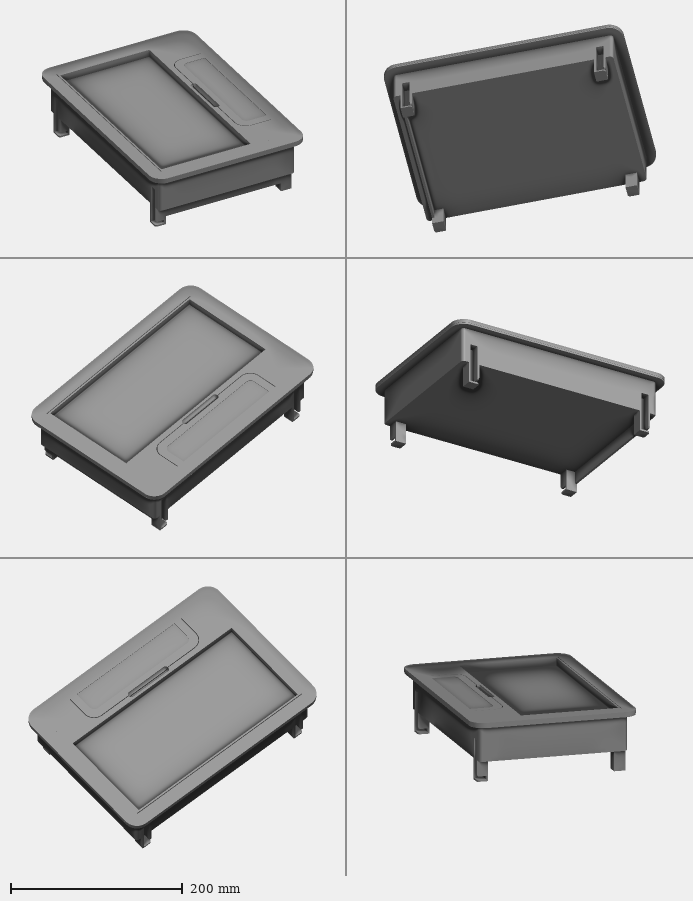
import cadquery as cq
LENGTH = 286.0
WIDTH = 203.0
HEIGHT = 75.8

RIM_THICKNESS = 6.3
RIM_CORNER_RADIUS = 17.0
RIM_STEP_HEIGHT = 2.0
RIM_STEP_INSET = 0.3
RIM_BORDER = 17.2

BOX_LENGTH = 262.8
BOX_WIDTH = 181.0
BOX_BOTTOM = 26.0
BOX_CORNER_RADIUS = 4.0

LEG_SIZE = 13.7
LEG_CENTRE_X = 115.5
CHANNEL_WIDTH = 9.2
CHANNEL_DEPTH = 11.5
CHANNEL_TOP = 50.0
CHANNEL_OUTER_WALL = 2.0
FOOT_THICKNESS = 2.15
NOTCH_HEIGHT = 4.3
NOTCH_CORNER_RADIUS = 3.0

BAR_BOTTOM = 11.0
BAR_THICKNESS = 3.0

GAP = 1.0
PANEL_THICKNESS = 13.2
WINDOW_SIDE_BORDER = 4.3
WINDOW_FRONT_BORDER = 2.0
WINDOW_BACK_Y = 36.5
WINDOW_DEPTH = 9.5
WINDOW_FLOOR_RADIUS = 1.1

FLAP_LENGTH = 169.3
FLAP_FRONT_Y = 44.3
FLAP_THICKNESS = 5.7
FLAP_CORNER_RADIUS = 14.0
FLAP_BORDER = 10.0
FLAP_INSET_RADIUS = 6.5
FLAP_INSET_DEPTH = 0.5

GRIP_LENGTH = 59.5
GRIP_RADIUS = 3.85
GRIP_END_RADIUS = 3.0
GRIP_CENTRE_Y = 43.5

RIM_BOTTOM = HEIGHT - RIM_THICKNESS
FRONT_Y = -BOX_WIDTH / 2
OPENING_LENGTH = LENGTH - 2 * RIM_BORDER
OPENING_BACK_Y = WIDTH / 2 - RIM_BORDER
PANEL_FRONT_Y = -OPENING_BACK_Y
OPENING_FRONT_Y = PANEL_FRONT_Y - GAP

TOUCH = 0.03


def block(x0, x1, y0, y1, z0, z1):
    """Box between two opposite corners."""
    return cq.Workplane("XY").box(x1 - x0, y1 - y0, z1 - z0, centered=False).translate((x0, y0, z0))


def rounded_plate(length, width, corner_radius, z0, z1):
    plate = cq.Workplane("XY").workplane(offset=z0).rect(length, width).extrude(z1 - z0)
    return plate.edges("|Z").fillet(corner_radius)


def rim():
    """Plate whose lower part is stepped in slightly all round."""
    step_z = RIM_BOTTOM + RIM_STEP_HEIGHT
    plate = rounded_plate(LENGTH, WIDTH, RIM_CORNER_RADIUS, step_z, HEIGHT)
    step = rounded_plate(LENGTH - 2 * RIM_STEP_INSET, WIDTH - 2 * RIM_STEP_INSET,
                         RIM_CORNER_RADIUS - RIM_STEP_INSET, RIM_BOTTOM, step_z)
    return plate.union(step)


def channel(side):
    """Cable channel of a front leg, open to the front; side is -1 for the -X leg, 1 for the +X leg."""
    outer_x = side * (LEG_CENTRE_X + LEG_SIZE / 2 - CHANNEL_OUTER_WALL)
    inner_x = outer_x - side * CHANNEL_WIDTH
    return block(min(outer_x, inner_x), max(outer_x, inner_x), FRONT_Y, FRONT_Y + CHANNEL_DEPTH,
                 FOOT_THICKNESS, CHANNEL_TOP)


def leg(side):
    """Front leg with its channel and a notch through the +X wall just above the foot."""
    centre_x = side * LEG_CENTRE_X
    right_x = centre_x + LEG_SIZE / 2
    notch_top = FOOT_THICKNESS + NOTCH_HEIGHT
    post = block(right_x - LEG_SIZE, right_x, FRONT_Y, FRONT_Y + LEG_SIZE, 0, BOX_BOTTOM)
    notch = block(centre_x, right_x, FRONT_Y, FRONT_Y + CHANNEL_DEPTH, FOOT_THICKNESS, notch_top)
    post = post.cut(channel(side)).cut(notch)
    wall_corner = cq.selectors.BoxSelector(
        (centre_x, FRONT_Y - TOUCH, notch_top - TOUCH), (right_x + TOUCH, FRONT_Y + TOUCH, notch_top + TOUCH))
    foot_corner = cq.selectors.BoxSelector(
        (right_x - TOUCH, FRONT_Y - TOUCH, 0), (right_x + TOUCH, FRONT_Y + TOUCH, FOOT_THICKNESS))
    return post.edges(wall_corner).fillet(NOTCH_CORNER_RADIUS).edges(foot_corner).fillet(NOTCH_CORNER_RADIUS)


def bar():
    outer_x = LEG_CENTRE_X + LEG_SIZE / 2
    half = BOX_WIDTH / 2 - LEG_SIZE
    return block(outer_x - BAR_THICKNESS, outer_x, -half, half, BAR_BOTTOM, BOX_BOTTOM)


def make_housing():
    body = rim().union(rounded_plate(BOX_LENGTH, BOX_WIDTH, BOX_CORNER_RADIUS, BOX_BOTTOM, RIM_BOTTOM))
    body = body.union(bar())
    for turn in (0, 180):
        for side in (-1, 1):
            body = body.union(leg(side).rotate((0, 0, 0), (0, 0, 1), turn))
            body = body.cut(channel(side).rotate((0, 0, 0), (0, 0, 1), turn))
    pocket = block(-OPENING_LENGTH / 2, OPENING_LENGTH / 2, OPENING_FRONT_Y, OPENING_BACK_Y,
                   HEIGHT - PANEL_THICKNESS, HEIGHT)
    return body.cut(pocket)


def flap_outline(margin, corner_radius, depth):
    """Slab with rounded front corners, wider than the flap by a margin, ending at the rim."""
    half = FLAP_LENGTH / 2 + margin
    slab = block(-half, half, FLAP_FRONT_Y - margin, OPENING_BACK_Y, HEIGHT - depth, HEIGHT)
    return slab.edges("|Z and <Y").fillet(corner_radius)


def finger_grip():
    """Round bar with rounded ends, lying along X with its axis in the top face."""
    round_bar = cq.Workplane("YZ").circle(GRIP_RADIUS).extrude(GRIP_LENGTH)
    round_bar = round_bar.edges("%CIRCLE").fillet(GRIP_END_RADIUS)
    return round_bar.translate((-GRIP_LENGTH / 2, GRIP_CENTRE_Y, HEIGHT))


def window():
    half = OPENING_LENGTH / 2 - WINDOW_SIDE_BORDER
    front_y = PANEL_FRONT_Y + WINDOW_FRONT_BORDER
    space = block(-half, half, front_y, WINDOW_BACK_Y, HEIGHT - WINDOW_DEPTH, HEIGHT)
    return space.faces("<Z").edges("|X").fillet(WINDOW_FLOOR_RADIUS)


def make_panel():
    body = block(-OPENING_LENGTH / 2, OPENING_LENGTH / 2, PANEL_FRONT_Y, OPENING_BACK_Y,
                 HEIGHT - PANEL_THICKNESS, HEIGHT)
    flap_seat = flap_outline(GAP, FLAP_CORNER_RADIUS + GAP, FLAP_THICKNESS)
    return body.cut(window()).cut(flap_seat).cut(finger_grip())


def make_flap():
    body = flap_outline(0, FLAP_CORNER_RADIUS, FLAP_THICKNESS)
    inset = flap_outline(-FLAP_BORDER, FLAP_INSET_RADIUS, FLAP_INSET_DEPTH)
    return body.cut(inset).cut(finger_grip())


housing = make_housing()
panel = make_panel()
flap = make_flap()
result = cq.Compound.makeCompound([housing.val(), panel.val(), flap.val()])